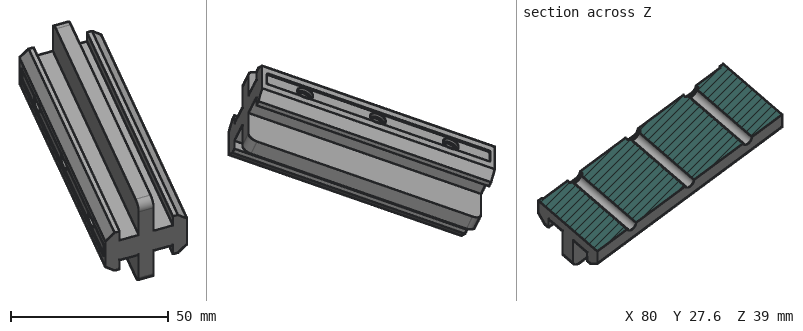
import cadquery as cq

length = 80.0
depth = 27.6
height = 39.0

plate_thickness = 5.0
plate_corner_radius = 3.0

web_height = 10.0
flange_thickness = 4.8
flange_height = 19.0
chamfer_depth = 3.1
chamfer_height = 3.1

recess_length = 76.8
recess_height = 6.1
recess_depth = 0.5
recess_corner_radius = 0.6

hole_spacing = 25.0
hole_diameter = 3.6
counterbore_diameter = 5.4
counterbore_depth = 1.3

front_face = -depth / 2
recess_floor = front_face + recess_depth


def central_plate():
    plate = cq.Workplane("XY").box(length, plate_thickness, height)
    return plate.edges("|Y").fillet(plate_corner_radius)


def flange(side):
    """Full-length flange on the given Y side, with its outer edges beveled."""
    outer = side * depth / 2
    bevel_start = side * (depth / 2 - chamfer_depth)
    inner = side * (depth / 2 - flange_thickness)
    half_height = flange_height / 2
    half_face = half_height - chamfer_height
    profile = [
        (inner, -half_height),
        (bevel_start, -half_height),
        (outer, -half_face),
        (outer, half_face),
        (bevel_start, half_height),
        (inner, half_height),
    ]
    return cq.Workplane("YZ").polyline(profile).close().extrude(length / 2, both=True)


def front_recess():
    recess = cq.Workplane("XY").box(recess_length, recess_depth, recess_height)
    recess = recess.edges("|Y").fillet(recess_corner_radius)
    return recess.translate((0, front_face + recess_depth / 2, 0))


def cylinder_along_y(x, diameter, start, cut_length):
    direction = cq.Vector(0, 1, 0)
    return cq.Solid.makeCylinder(diameter / 2, cut_length, cq.Vector(x, start, 0), direction)


web = cq.Workplane("XY").box(length, depth - flange_thickness, web_height)
result = central_plate().union(web).union(flange(-1)).union(flange(1))
result = result.cut(front_recess())

for x in (-hole_spacing, 0, hole_spacing):
    result = result.cut(cylinder_along_y(x, hole_diameter, front_face, depth))
    result = result.cut(cylinder_along_y(x, counterbore_diameter, recess_floor, counterbore_depth))